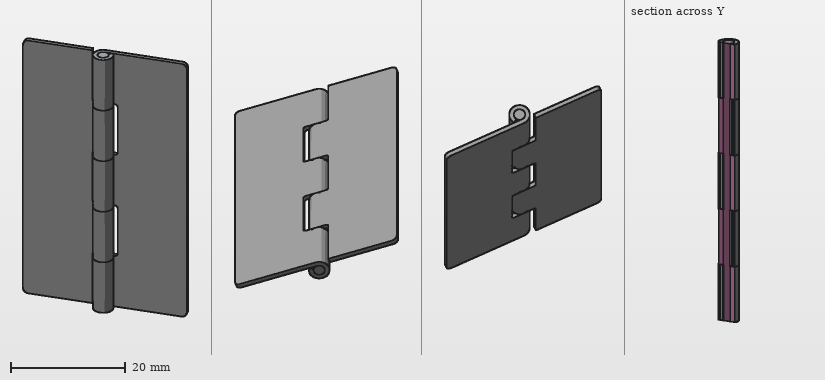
import cadquery as cq
import math

length = 51.0
width = 30.0
sheet_thickness = 0.8
pin_diameter = 2.0
knuckle_count = 5
knuckle_clearance = 0.5
outer_corner_radius = 1.0
notch_corner_radius = 0.5
curl_end_angle = 32.0

pin_radius = pin_diameter / 2
barrel_radius = pin_radius + sheet_thickness
knuckle_length = length / knuckle_count
leaf_reach = width / 2
notch_depth = barrel_radius + knuckle_clearance


def polar(radius, degrees):
    angle = math.radians(degrees)
    return (radius * math.cos(angle), radius * math.sin(angle))


def make_plate():
    """Flat sheet from the hinge axis out to +X, with rounded outer corners."""
    return (
        cq.Workplane("XY")
        .box(leaf_reach, sheet_thickness, length, centered=False)
        .translate((0, pin_radius, 0))
        .edges("|Y and >X")
        .fillet(outer_corner_radius)
    )


def make_notch(index):
    """Cutter that clears one knuckle of the opposite leaf; end notches run out past the sheet."""
    end_overrun = 2 * notch_corner_radius
    bottom = index * knuckle_length
    top = bottom + knuckle_length
    if index == 0:
        bottom -= end_overrun
    if index == knuckle_count - 1:
        top += end_overrun
    return (
        cq.Workplane("XY")
        .box(2 * notch_depth, 2 * barrel_radius, top - bottom, centered=(True, True, False))
        .translate((0, barrel_radius, bottom))
        .edges("|Y and >X")
        .fillet(notch_corner_radius)
    )


def make_knuckle(index):
    """Sheet rolled around the pin, from the leaf at +Y round to a radial end face."""
    middle_angle = (90 + curl_end_angle + 360) / 2
    return (
        cq.Workplane("XY", origin=(0, 0, index * knuckle_length))
        .moveTo(0, barrel_radius)
        .threePointArc(polar(barrel_radius, middle_angle), polar(barrel_radius, curl_end_angle))
        .lineTo(*polar(pin_radius, curl_end_angle))
        .threePointArc(polar(pin_radius, middle_angle), (0, pin_radius))
        .close()
        .extrude(knuckle_length)
    )


def make_leaf(own_knuckles):
    """Leaf on the +X side with knuckles at the given places and notches at the others."""
    leaf = make_plate()
    for index in range(knuckle_count):
        if index in own_knuckles:
            leaf = leaf.union(make_knuckle(index))
        else:
            leaf = leaf.cut(make_notch(index))
    return leaf


def make_pin():
    return cq.Workplane("XY").circle(pin_radius).extrude(length)


right_leaf = make_leaf(range(0, knuckle_count, 2))
left_leaf = make_leaf(range(1, knuckle_count, 2)).mirror("YZ")
pin = make_pin()

result = cq.Compound.makeCompound([*right_leaf.solids().vals(), *left_leaf.solids().vals(), pin.val()])